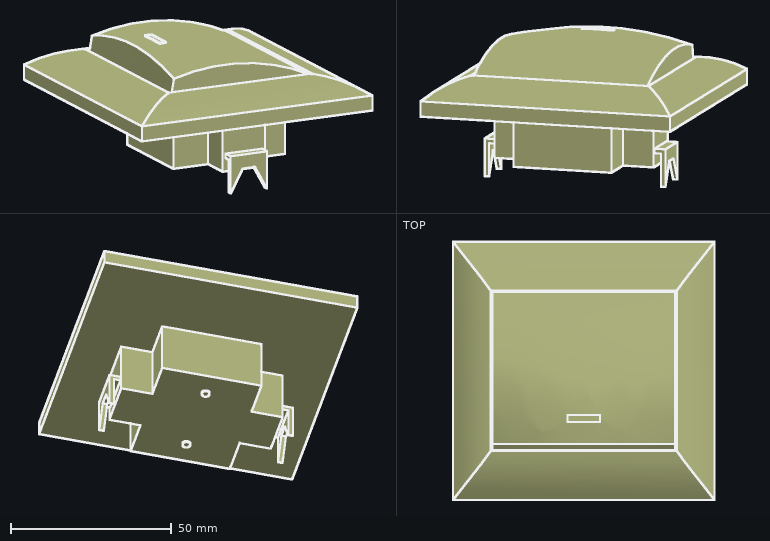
import cadquery as cq


frame_length = 81.5
frame_width = 80.5
frame_edge_height = 4.9
frame_top = 11.0
opening_length = 58.0
opening_width = 50.05
slope_bulge_x = 0.9
slope_bulge_y = 1.0
opening_floor = 4.9

rocker_length = 56.7
rocker_back_y = 24.5
rocker_back_top = 10.6
rocker_front_low_y = -24.6
rocker_front_top_y = -22.8
rocker_side_front_top = 15.1
rocker_middle_front_top = 19.15
side_crown_y = -4.65
side_crown_top = 17.45
middle_crown_y = -11.8
middle_crown_top = 20.05

window_length = 10.2
window_width = 2.2
window_y = -14.9
window_top = 20.1
window_height = 1.6

body_y = 2.8
body_depth = 17.85
body_length = 52.0
body_width = 39.0
body_end_width = 14.75
body_middle_length = 31.95

screw_diameter = 2.5
screw_spacing = 23.8
screw_height = 0.4

claw_span = 59.0
claw_thickness = 1.5
claw_width = 12.8
claw_top = -12.1
claw_bottom = -24.05
claw_notch_top = -16.55
claw_notch_top_width = 4.15
claw_tip_width = 0.2


def domed_profile(plane, size, opening, bulge):
    """Cross-section of the frame: vertical edges, convex slopes and a flat top."""
    half = size / 2
    half_top = opening / 2
    return (
        cq.Workplane(plane)
        .moveTo(-half, 0)
        .lineTo(half, 0)
        .lineTo(half, frame_edge_height)
        .sagittaArc((half_top, frame_top), -bulge)
        .lineTo(-half_top, frame_top)
        .sagittaArc((-half, frame_edge_height), -bulge)
        .close()
    )


def make_frame():
    """Two crossing domed bars leave mitred corners; the opening holds the rocker."""
    along_y = domed_profile("XZ", frame_length, opening_length, slope_bulge_x)
    along_x = domed_profile("YZ", frame_width, opening_width, slope_bulge_y)
    block = along_y.extrude(frame_width / 2, both=True).intersect(
        along_x.extrude(frame_length / 2, both=True)
    )
    opening = (
        cq.Workplane("XY")
        .workplane(offset=opening_floor)
        .rect(opening_length, opening_width)
        .extrude(frame_top)
    )
    return block.cut(opening)


def rocker_section(x, crown_y, crown_top, front_top):
    """Closed Y-Z section of the rocker at the given X: leaning front, arched top, upright back."""

    def point(y, z):
        return cq.Vector(x, y, z)

    front_low = point(rocker_front_low_y, opening_floor)
    front_high = point(rocker_front_top_y, front_top)
    crown = point(crown_y, crown_top)
    back_high = point(rocker_back_y, rocker_back_top)
    back_low = point(rocker_back_y, opening_floor)
    return cq.Wire.assembleEdges([
        cq.Edge.makeLine(front_low, front_high),
        cq.Edge.makeThreePointArc(front_high, crown, back_high),
        cq.Edge.makeLine(back_high, back_low),
        cq.Edge.makeLine(back_low, front_low),
    ])


def make_rocker():
    """Smooth loft from one side over the higher middle to the other side."""
    half = rocker_length / 2
    sections = [
        rocker_section(-half, side_crown_y, side_crown_top, rocker_side_front_top),
        rocker_section(0, middle_crown_y, middle_crown_top, rocker_middle_front_top),
        rocker_section(half, side_crown_y, side_crown_top, rocker_side_front_top),
    ]
    return cq.Workplane(cq.Solid.makeLoft(sections))


def make_window():
    return (
        cq.Workplane("XY")
        .workplane(offset=window_top)
        .center(0, window_y)
        .rect(window_length, window_width)
        .extrude(-window_height)
    )


def make_body():
    """Cross-shaped body with two screw heads underneath."""
    base = cq.Workplane("XY").center(0, body_y)
    middle = base.rect(body_middle_length, body_width).extrude(-body_depth)
    ends = base.rect(body_length, body_end_width).extrude(-body_depth)
    screws = (
        base.rarray(0.8, screw_spacing, 1, 2)
        .circle(screw_diameter / 2)
        .extrude(-body_depth - screw_height)
    )
    return middle.union(ends).union(screws)


def make_claw():
    """Bent claw at the +X end: a short arm and a notched blade with two points."""
    outer_x = claw_span / 2
    arm_start = body_length / 2 - claw_thickness
    arm_length = outer_x - arm_start
    arm = cq.Workplane("XY").box(
        arm_length, claw_width, claw_thickness, centered=(False, True, False)
    ).translate((arm_start, body_y, claw_top - claw_thickness))

    half = claw_width / 2
    half_notch = claw_notch_top_width / 2
    tip = half - claw_tip_width
    blade = (
        cq.Workplane("YZ")
        .workplane(offset=outer_x)
        .center(body_y, 0)
        .polyline([
            (-half, claw_top),
            (-half, claw_bottom),
            (-tip, claw_bottom),
            (-half_notch, claw_notch_top),
            (half_notch, claw_notch_top),
            (tip, claw_bottom),
            (half, claw_bottom),
            (half, claw_top),
        ])
        .close()
        .extrude(-claw_thickness)
    )
    return arm.union(blade)


claw = make_claw()
result = (
    make_frame()
    .union(make_rocker())
    .union(make_window())
    .union(make_body())
    .union(claw)
    .union(claw.mirror("YZ"))
)